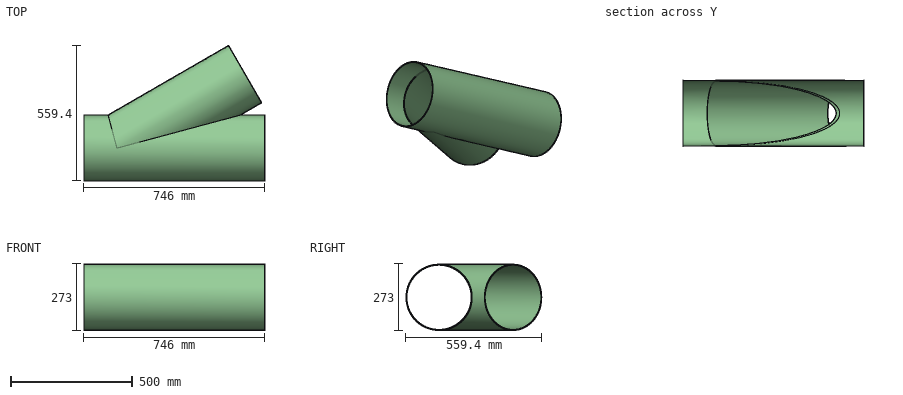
import cadquery as cq
import math

outer_diameter = 273.0
bore_diameter = 265.0
branch_angle = 30.0
stub_length = 100.0

outer_radius = outer_diameter / 2
mitre_angle = branch_angle / 2
mitre_radians = math.radians(mitre_angle)

heel_length = stub_length + outer_radius * math.tan(mitre_radians)
arm_length = stub_length + outer_radius / math.tan(mitre_radians)


def run_cylinder(diameter):
    """Cylinder along X for the straight run."""
    plane = cq.Workplane("YZ", origin=(-heel_length, 0, 0))
    return plane.circle(diameter / 2).extrude(heel_length + arm_length)


def branch_cylinder(diameter):
    """Branch cylinder, mitred at the heel on the plane bisecting the two axes."""
    cylinder = (
        cq.Workplane("YZ", origin=(-outer_diameter, 0, 0))
        .circle(diameter / 2)
        .extrude(outer_diameter + arm_length)
        .rotate((0, 0, 0), (0, 0, 1), branch_angle)
    )
    keep_size = 2 * (arm_length + outer_diameter)
    keep_side = (
        cq.Workplane("XY")
        .box(keep_size, keep_size, keep_size, centered=(False, True, True))
        .rotate((0, 0, 0), (0, 0, 1), mitre_angle)
    )
    return cylinder.intersect(keep_side)


body = run_cylinder(outer_diameter).union(branch_cylinder(outer_diameter))
result = body.cut(run_cylinder(bore_diameter)).cut(branch_cylinder(bore_diameter))